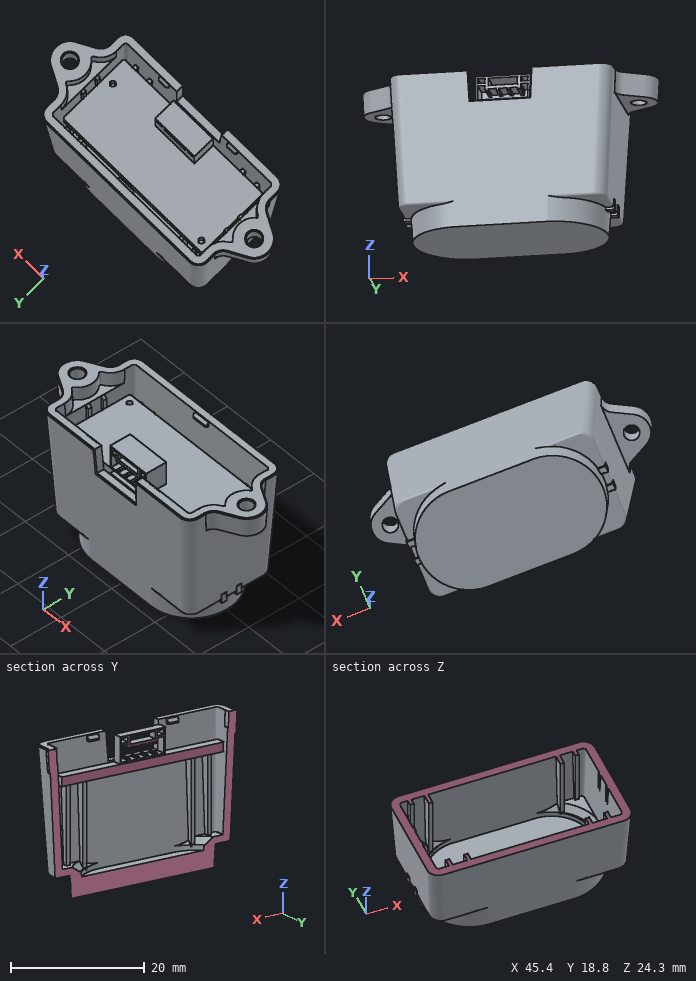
import cadquery as cq
import math

TOTAL_LENGTH = 45.35
TOTAL_WIDTH = 18.77
TOTAL_HEIGHT = 24.3
DRAFT = 3.0
OVERLAP = 0.45

BODY_LENGTH = 34.2
BODY_BOTTOM = 3.7
BODY_CORNER_RADIUS = 1.9
BOTTOM_EDGE_RADIUS = 0.4
RIM_CHAMFER = 0.2
WALL = 1.5
FLOOR = 1.25
CAVITY_CORNER_RADIUS = 0.45

BOSS_LENGTH = 29.85
BOSS_FLAT_LENGTH = 14.15
FUNNEL_TOP_RADIUS = 7.7
FUNNEL_DEPTH = 1.0
BOSS_FLOOR = 3.17

EAR_RADIUS = 3.15
EAR_DEPTH = 3.7
EAR_SLOPE = math.radians(28)
EAR_ROOT_RADIUS = 1.8
EAR_HOLE_DIAMETER = 2.4
EAR_HOLE_CHAMFER = 0.2
POST_RADIUS = 3.2
POCKET_DEPTH = 2.55
POCKET_TIP_RADIUS = 0.35

BOARD_LENGTH = 29.55
BOARD_FRONT = -6.7
BOARD_BACK = 6.3
BOARD_TOP = 19.65
BOARD_THICKNESS = 1.6
BOARD_CORNER_RADIUS = 0.35
BOARD_TAB_LENGTH = 6.35
BOARD_TAB_FRONT = -7.55
BOARD_HOLE_DIAMETER = 0.95
BOARD_HOLES = [(-13.35, 5.0), (13.25, -2.8)]

CONNECTOR_LENGTH = 8.35
CONNECTOR_DEPTH = 4.0
CONNECTOR_HEIGHT = 4.35
SOCKET_DEPTH = 3.17
SOCKET_LENGTH = 7.65
SOCKET_BOTTOM = 0.25
SOCKET_MIDDLE_TOP = 2.3
SOCKET_SIDE_TOP = 2.85
SOCKET_SIDE_LENGTH = 1.1
WINDOW_BOTTOM = 2.85
SIDE_WINDOW_BOTTOM = 3.25
WINDOW_TOP = 4.0
WINDOW_LENGTH = 4.5
RIB_PITCH = 1.65
RIB_COUNT = 4
KEY_RIB_WIDTH = 0.4
KEY_RIB_HEIGHT = 0.25

NOTCH_LENGTH = 9.02
NOTCH_DEPTH = 4.75

RIB_WIDTH = 0.7
CORNER_RIB_X = 13.42
CORNER_RIB_TIP = 6.45
BACK_RIB_X = 10.7
BACK_RIB_TIP = 5.65
FRONT_RIB_XS = (12.9, 9.9)
FRONT_RIB_TIP = 6.1
GUIDE_Y = 1.5
GUIDE_TIP_GAP = 0.15
LOW_GUIDE_Y = -4.63
LOW_GUIDE_TOP = 10.9
CATCH_REACH = 0.55
CATCH_DROP = 0.2
CATCH_LIP = 0.23
CATCH_BEVEL = 0.23
BACK_CATCH_LENGTH = 3.17
FRONT_CATCH_LENGTH = 2.05
FRONT_CATCH_X = 7.25
FOOT_BOTTOM = 3.3
FOOT_WIDTH = 1.0
FOOT_OUTER_X = 16.15

BOSS_TOP = BODY_BOTTOM + BOTTOM_EDGE_RADIUS + OVERLAP
SLOPE = math.tan(math.radians(DRAFT))
RIM_GROWTH = RIM_CHAMFER * SLOPE
RIM_WIDTH = TOTAL_WIDTH + 2 * RIM_GROWTH
EAR_X = TOTAL_LENGTH / 2 + RIM_GROWTH - EAR_RADIUS
BODY_FLOOR = BODY_BOTTOM + FLOOR
CAVITY_LENGTH = BODY_LENGTH - 2 * WALL
CAVITY_WIDTH = RIM_WIDTH - 2 * WALL
BOARD_BOTTOM = BOARD_TOP - BOARD_THICKNESS
BOARD_WIDTH = BOARD_BACK - BOARD_FRONT
BOARD_Y = (BOARD_BACK + BOARD_FRONT) / 2


def box(x_range, y_range, z_range):
    """Box between the given limits."""
    size = [high - low for low, high in (x_range, y_range, z_range)]
    corner = (x_range[0], y_range[0], z_range[0])
    return cq.Workplane("XY").box(*size, centered=False).translate(corner)


def drafted_block(length, width, radius, bottom):
    """Block that narrows downward from the rim plane, with corners of constant radius."""
    rim_plane = cq.Workplane("XY", origin=(0, 0, TOTAL_HEIGHT))
    block = rim_plane.rect(length, width).extrude(bottom - TOTAL_HEIGHT, taper=DRAFT)
    return block.edges("not #Z").fillet(radius)


def ear(inset, depth):
    """Drafted ear on the +X side, with its outline moved inward by `inset`."""
    wall_x = BODY_LENGTH / 2 - inset
    tip_radius = EAR_RADIUS - inset
    root_radius = EAR_ROOT_RADIUS + inset
    root_x = wall_x + root_radius
    sine = math.sin(EAR_SLOPE)
    cosine = math.cos(EAR_SLOPE)
    root_y = (tip_radius + root_radius - (root_x - EAR_X) * sine) / cosine
    half_angle = (math.pi / 2 + EAR_SLOPE) / 2

    def root_point(angle, side):
        x = root_x - root_radius * math.sin(angle)
        return x, side * (root_y - root_radius * math.cos(angle))

    tip_x = EAR_X + tip_radius * sine
    tip_y = tip_radius * cosine
    inner_x = wall_x - WALL
    return (
        cq.Workplane("XY", origin=(0, 0, TOTAL_HEIGHT))
        .moveTo(inner_x, -root_y)
        .lineTo(wall_x, -root_y)
        .threePointArc(root_point(half_angle, -1), root_point(EAR_SLOPE, -1))
        .lineTo(tip_x, -tip_y)
        .threePointArc((EAR_X + tip_radius, 0), (tip_x, tip_y))
        .lineTo(*root_point(EAR_SLOPE, 1))
        .threePointArc(root_point(half_angle, 1), (wall_x, root_y))
        .lineTo(inner_x, root_y)
        .close()
        .extrude(-depth, taper=DRAFT)
    )


def both_ends(shape):
    """The shape together with its mirror image on the -X side."""
    return shape.union(shape.mirror("YZ"))


def boss(inset, bottom, top):
    """Stadium-like boss, flush with the drafted front and back walls moved inward by `inset`."""
    half_width = RIM_WIDTH / 2 - inset - (TOTAL_HEIGHT - bottom) * SLOPE
    half_flat = BOSS_FLAT_LENGTH / 2
    half_length = BOSS_LENGTH / 2 - inset
    return (
        cq.Workplane("XY", origin=(0, 0, bottom))
        .moveTo(-half_flat, -half_width)
        .lineTo(half_flat, -half_width)
        .threePointArc((half_length, 0), (half_flat, half_width))
        .lineTo(-half_flat, half_width)
        .threePointArc((-half_length, 0), (-half_flat, -half_width))
        .close()
        .extrude(top - bottom, taper=-DRAFT)
    )


def funnels():
    """Round 45 degree lead-ins from the body floor to the boss ends, no wider than the body cavity."""
    plane = cq.Workplane("XY", origin=(BOSS_FLAT_LENGTH / 2, 0, BODY_FLOOR))
    cone = plane.circle(FUNNEL_TOP_RADIUS).extrude(-FUNNEL_DEPTH, taper=45)
    limit = drafted_block(CAVITY_LENGTH, CAVITY_WIDTH, CAVITY_CORNER_RADIUS, BODY_FLOOR - FUNNEL_DEPTH)
    return both_ends(cone).intersect(limit)


def notch():
    """Opening in the front wall, with drafted sides."""
    half_bottom = NOTCH_LENGTH / 2
    half_top = half_bottom + NOTCH_DEPTH * SLOPE
    front = -TOTAL_WIDTH / 2 - OVERLAP
    bottom = TOTAL_HEIGHT - NOTCH_DEPTH
    profile = [
        (-half_bottom, bottom),
        (half_bottom, bottom),
        (half_top, TOTAL_HEIGHT),
        (-half_top, TOTAL_HEIGHT),
    ]
    reach = WALL + NOTCH_DEPTH * SLOPE + 2 * OVERLAP
    return cq.Workplane("XZ", origin=(0, front, 0)).polyline(profile).close().extrude(-reach)


def notch_edges():
    """Selector for the outer edges of the notch."""
    reach = NOTCH_LENGTH / 2 + OVERLAP
    front = -TOTAL_WIDTH / 2
    low = (-reach, front, TOTAL_HEIGHT - NOTCH_DEPTH - OVERLAP)
    high = (reach, front + OVERLAP, TOTAL_HEIGHT - OVERLAP)
    return cq.selectors.BoxSelector(low, high)


def board_ribs():
    """Upright ribs on the back and front walls, up to the underside of the board."""
    outer_y = TOTAL_WIDTH / 2
    places = [
        (CORNER_RIB_X, CORNER_RIB_TIP, outer_y),
        (BACK_RIB_X, BACK_RIB_TIP, outer_y),
    ]
    places += [(x, -outer_y, -FRONT_RIB_TIP) for x in FRONT_RIB_XS]
    ribs = cq.Workplane("XY")
    for x, y_low, y_high in places:
        x_range = (x - RIB_WIDTH / 2, x + RIB_WIDTH / 2)
        ribs = ribs.union(box(x_range, (y_low, y_high), (BODY_BOTTOM, BOARD_BOTTOM)))
    return both_ends(ribs)


def side_guides():
    """Ribs on the end walls that keep the board centred, two of them with ramped tops."""
    tip_x = BOARD_LENGTH / 2 + GUIDE_TIP_GAP
    outer_x = BODY_LENGTH / 2
    guide_top = TOTAL_HEIGHT - POCKET_DEPTH
    wall_x = CAVITY_LENGTH / 2 - POCKET_DEPTH * SLOPE
    ramp = wall_x - tip_x
    profile = [
        (tip_x, BODY_BOTTOM),
        (outer_x, BODY_BOTTOM),
        (outer_x, guide_top),
        (wall_x, guide_top),
        (tip_x, guide_top - ramp),
    ]
    guide = cq.Workplane("XZ").polyline(profile).close().extrude(RIB_WIDTH / 2, both=True)
    low_y = (LOW_GUIDE_Y - RIB_WIDTH / 2, LOW_GUIDE_Y + RIB_WIDTH / 2)
    guides = box((tip_x, outer_x), low_y, (BODY_BOTTOM, LOW_GUIDE_TOP))
    for y in (-GUIDE_Y, GUIDE_Y):
        guides = guides.union(guide.translate((0, y, 0)))
    return both_ends(guides)


def back_catch(length):
    """Wedge on the back wall near the rim, sloping down to a narrow lip."""
    wall_y = CAVITY_WIDTH / 2
    tip_y = wall_y - CATCH_REACH
    top = TOTAL_HEIGHT - CATCH_DROP
    lip_top = top - CATCH_REACH
    lip_bottom = lip_top - CATCH_LIP
    profile = [
        (wall_y + OVERLAP, top),
        (wall_y, top),
        (tip_y, lip_top),
        (tip_y, lip_bottom),
        (wall_y + OVERLAP, lip_bottom),
    ]
    wedge = cq.Workplane("YZ").polyline(profile).close().extrude(length / 2, both=True)
    return wedge.edges("|Z and <Y").chamfer(CATCH_BEVEL)


def catches():
    """One wide catch on the back wall and two narrow ones on the front wall."""
    front_catch = back_catch(FRONT_CATCH_LENGTH).mirror("XZ").translate((FRONT_CATCH_X, 0, 0))
    return back_catch(BACK_CATCH_LENGTH).union(both_ends(front_catch))


def feet():
    """Small pads under the body ends, in line with the side guides."""
    pads = cq.Workplane("XY")
    inner_x = BOSS_LENGTH / 2 - OVERLAP
    for y in (-GUIDE_Y, GUIDE_Y):
        y_range = (y - FOOT_WIDTH / 2, y + FOOT_WIDTH / 2)
        pads = pads.union(box((inner_x, FOOT_OUTER_X), y_range, (FOOT_BOTTOM, BODY_FLOOR)))
    return both_ends(pads)


def ear_hole():
    """Through hole of the +X ear, chamfered at the rim."""
    plane = cq.Workplane("XY", origin=(EAR_X, 0, TOTAL_HEIGHT))
    hole = plane.circle(EAR_HOLE_DIAMETER / 2).extrude(-EAR_DEPTH - OVERLAP)
    countersink = plane.circle(EAR_HOLE_DIAMETER / 2 + EAR_HOLE_CHAMFER).extrude(-EAR_HOLE_CHAMFER, taper=45)
    return hole.union(countersink)


def make_housing():
    body = drafted_block(BODY_LENGTH, RIM_WIDTH, BODY_CORNER_RADIUS, BODY_BOTTOM)
    body = body.faces("<Z").edges().fillet(BOTTOM_EDGE_RADIUS)
    body = body.faces(">Z").edges().chamfer(RIM_CHAMFER)
    solid_ear = ear(0, EAR_DEPTH).faces(">Z").edges().chamfer(RIM_CHAMFER)
    body = body.union(both_ends(solid_ear))
    body = body.union(boss(0, 0, BOSS_TOP)).union(feet())

    cavity = drafted_block(CAVITY_LENGTH, CAVITY_WIDTH, CAVITY_CORNER_RADIUS, BODY_FLOOR)
    boss_cavity = boss(WALL, BOSS_FLOOR, BODY_FLOOR + OVERLAP)
    post = cq.Workplane("XY", origin=(EAR_X, 0, TOTAL_HEIGHT)).circle(POST_RADIUS).extrude(-EAR_DEPTH)
    pocket = ear(WALL, POCKET_DEPTH).cut(post)
    tip_x = BODY_LENGTH / 2
    tip_range = cq.selectors.BoxSelector(
        (tip_x, -TOTAL_WIDTH, TOTAL_HEIGHT - POCKET_DEPTH + OVERLAP),
        (EAR_X, TOTAL_WIDTH, TOTAL_HEIGHT - OVERLAP),
    )
    pocket = pocket.edges(tip_range).fillet(POCKET_TIP_RADIUS)
    hollow = cavity.union(boss_cavity).union(funnels()).union(both_ends(pocket))

    inner_parts = board_ribs().union(side_guides()).union(catches())
    hollow = hollow.cut(inner_parts)
    housing = body.cut(hollow).cut(both_ends(ear_hole())).cut(notch())
    return housing.edges(notch_edges()).chamfer(RIM_CHAMFER)


def make_board():
    plane = cq.Workplane("XY", origin=(0, BOARD_Y, BOARD_BOTTOM))
    board = plane.rect(BOARD_LENGTH, BOARD_WIDTH).extrude(BOARD_THICKNESS)
    board = board.edges("|Z").fillet(BOARD_CORNER_RADIUS)
    half_tab = BOARD_TAB_LENGTH / 2
    tab_y = (BOARD_TAB_FRONT, BOARD_FRONT + OVERLAP)
    board = board.union(box((-half_tab, half_tab), tab_y, (BOARD_BOTTOM, BOARD_TOP)))
    holes = cq.Workplane("XY", origin=(0, 0, BOARD_BOTTOM)).pushPoints(BOARD_HOLES)
    return board.cut(holes.circle(BOARD_HOLE_DIAMETER / 2).extrude(BOARD_THICKNESS))


def make_connector():
    front = BOARD_FRONT
    back = front + CONNECTOR_DEPTH

    def block(x_low, x_high, z_low, z_high, y_back):
        return box((x_low, x_high), (front, y_back), (BOARD_TOP + z_low, BOARD_TOP + z_high))

    half_length = CONNECTOR_LENGTH / 2
    half_socket = SOCKET_LENGTH / 2
    half_window = WINDOW_LENGTH / 2
    side_inner = half_socket - SOCKET_SIDE_LENGTH
    socket_back = front + SOCKET_DEPTH
    shell = block(-half_length, half_length, 0, CONNECTOR_HEIGHT, back)

    socket = block(-half_socket, half_socket, SOCKET_BOTTOM, SOCKET_MIDDLE_TOP, socket_back)
    side = block(side_inner, half_socket, SOCKET_BOTTOM, SOCKET_SIDE_TOP, socket_back)
    socket = socket.union(both_ends(side))

    for index in range(RIB_COUNT):
        x = (index - (RIB_COUNT - 1) / 2) * RIB_PITCH
        for z in (SOCKET_BOTTOM, SOCKET_MIDDLE_TOP - KEY_RIB_HEIGHT):
            left = x - KEY_RIB_WIDTH / 2
            socket = socket.cut(block(left, left + KEY_RIB_WIDTH, z, z + KEY_RIB_HEIGHT, socket_back))

    windows = block(-half_window, half_window, WINDOW_BOTTOM, WINDOW_TOP, back)
    side_window = block(side_inner, half_socket, SIDE_WINDOW_BOTTOM, WINDOW_TOP, back)
    return shell.cut(socket).cut(windows).cut(both_ends(side_window))


housing = make_housing()
board = make_board()
connector = make_connector()

result = cq.Compound.makeCompound([housing.val(), board.val(), connector.val()])